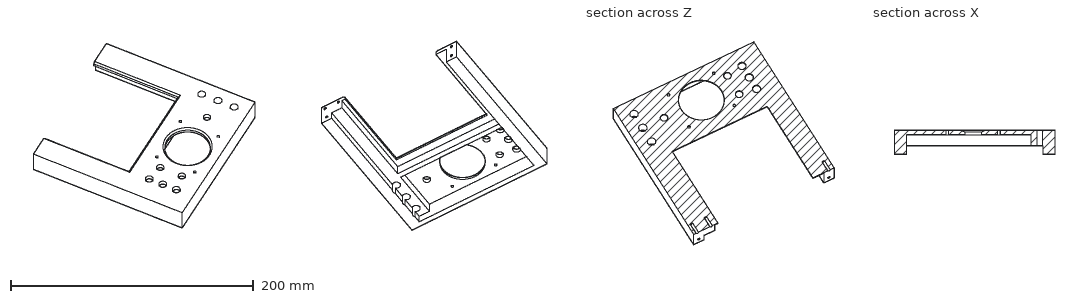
import cadquery as cq

length = 137.5
width = 132.25
height = 20.0

plate_thickness = 4.0
front_wall = 10.0
back_wall = 20.0
end_wall = 4.5

relief_height = 7.0
relief_back_wall = front_wall

rib_x = 84.75
rib_thickness = end_wall

opening_front = 20.25
opening_back = 109.25
opening_depth = 78.0
edge_chamfer = 1.5
chamfer_angle = 45.0

window_x = 109.5
window_y = (opening_front + opening_back) / 2
window_diameter = 37.5
window_screw_diameter = 2.0
window_screw_dx = 17.5
window_screw_dy = 21.25

large_hole_diameter = 6.5
back_row_y = 119.75
back_row_pitch = 15.0
front_row_y = 19.75
front_row_pitch = 12.5

small_hole_diameter = 6.0
single_hole_y = 99.75
pair_y = 34.75
pair_half_spacing = 10.0

arm_screw_diameter = 2.0
arm_screw_depth = 10.0
arm_screw_low_z = 5.0
arm_screw_high_z = 16.5
arm_screw_inset = front_wall / 2
back_arm_outer_inset = 3.5
back_arm_inner_inset = 16.5


def box_between(x_range, y_range, z_range):
    """Axis-aligned box spanning the given coordinate ranges."""
    spans = [high - low for low, high in (x_range, y_range, z_range)]
    corner = (x_range[0], y_range[0], z_range[0])
    return cq.Workplane("XY").box(*spans, centered=False).translate(corner)


def underside_cavity():
    """Stepped hollow below the plate."""
    upper = box_between(
        (0, length - end_wall),
        (front_wall, width - back_wall),
        (0, height - plate_thickness),
    )
    lower = box_between(
        (0, length - end_wall),
        (front_wall, width - relief_back_wall),
        (0, relief_height),
    )
    return upper.union(lower)


def plate_rib():
    """Rib under the plate, running from the front wall to the back wall."""
    return box_between(
        (rib_x, rib_x + rib_thickness),
        (front_wall, width - back_wall),
        (relief_height, height - plate_thickness),
    )


def plate_opening():
    """Rectangular notch through the plate, flared at the top by the edge chamfer."""
    notch = box_between((0, opening_depth), (opening_front, opening_back), (0, height))
    flare_length = opening_depth + edge_chamfer
    flare_width = opening_back - opening_front + 2 * edge_chamfer
    flare = (
        cq.Workplane("XY", origin=(0, window_y, height))
        .rect(2 * flare_length, flare_width)
        .extrude(-edge_chamfer, taper=chamfer_angle)
    )
    return notch.union(flare)


def round_window():
    """Round through hole with a chamfered upper rim."""
    radius = window_diameter / 2
    bore = cq.Workplane("XY").center(window_x, window_y).circle(radius).extrude(height)
    rim = (
        cq.Workplane("XY", origin=(window_x, window_y, height))
        .circle(radius + edge_chamfer)
        .extrude(-edge_chamfer, taper=chamfer_angle)
    )
    return bore.union(rim)


def vertical_holes(points, diameter):
    """Through holes along Z."""
    return cq.Workplane("XY").pushPoints(points).circle(diameter / 2).extrude(height)


def row_points(y, pitch):
    """Three points in a row along X, centred on the window."""
    return [(window_x + step * pitch, y) for step in (-1, 0, 1)]


def arm_screw_holes():
    """Blind holes running along +X from the arm ends."""
    points = [
        (arm_screw_inset, arm_screw_low_z),
        (arm_screw_inset, arm_screw_high_z),
        (width - arm_screw_inset, arm_screw_low_z),
        (width - back_arm_outer_inset, arm_screw_high_z),
        (width - back_arm_inner_inset, arm_screw_high_z),
    ]
    return (
        cq.Workplane("YZ")
        .pushPoints(points)
        .circle(arm_screw_diameter / 2)
        .extrude(arm_screw_depth)
    )


large_hole_points = row_points(back_row_y, back_row_pitch) + row_points(front_row_y, front_row_pitch)
small_hole_points = [
    (window_x, single_hole_y),
    (window_x - pair_half_spacing, pair_y),
    (window_x + pair_half_spacing, pair_y),
]
window_screw_points = [
    (window_x + side_x * window_screw_dx, window_y + side_y * window_screw_dy)
    for side_x in (-1, 1)
    for side_y in (-1, 1)
]

result = (
    box_between((0, length), (0, width), (0, height))
    .cut(underside_cavity())
    .union(plate_rib())
    .cut(plate_opening())
    .cut(round_window())
    .cut(vertical_holes(large_hole_points, large_hole_diameter))
    .cut(vertical_holes(small_hole_points, small_hole_diameter))
    .cut(vertical_holes(window_screw_points, window_screw_diameter))
    .cut(arm_screw_holes())
)